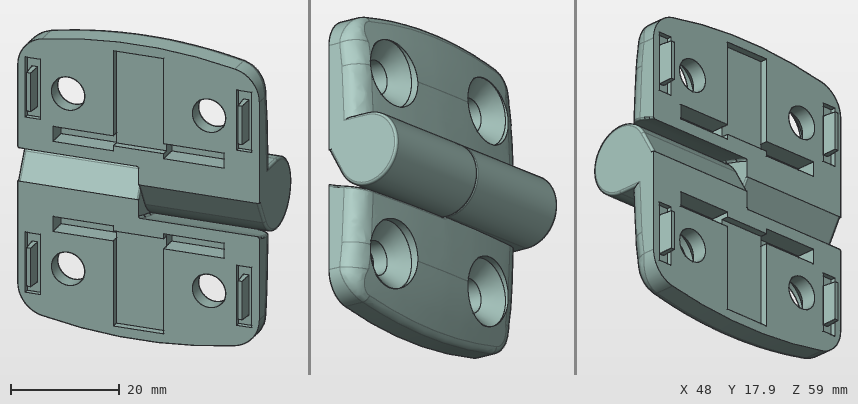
import cadquery as cq
import math


HALF_WIDTH = 24.0
LEAF_END = 29.5
END_ARC_RADIUS = 100.0
CORNER_RADIUS = 6.0

CREST_HEIGHT = 8.6
CROWN_RADIUS_ACROSS = 220.0
CROWN_RADIUS_ALONG = 250.0
END_CROWN_RADIUS = 45.0
CROWN_CHANGE = 17.4
SIDE_ROUND = 4.0
END_ROUND = 1.5

KNUCKLE_RADIUS = 7.0
AXIS_HEIGHT = 8.9
RAMP_FOOT = 1.5
OUTER_ROUND = 0.5
INNER_ROUND = 0.3

CLEARANCE_FOOT = 5.15
CLEARANCE_MIDDLE = (3.3, 6.1)
CLEARANCE_TOP = (8.9, 7.2)
CLEARANCE_ROUND = 0.4

HOLE_X = 14.0
HOLE_Z = 17.5
HOLE_DIAMETER = 6.6
HEAD_DIAMETER = 13.0
COUNTERSINK_START = 3.2
COUNTERSINK_HALF_ANGLE = 45.0

CENTER_POCKET_WIDTH = 10.0
CENTER_POCKET_BOTTOM = 8.5
CENTER_POCKET_TOP = 27.5
CENTER_POCKET_DEPTH = 1.5
SLOT_HALF_SPAN = 17.0
SLOT_BOTTOM = 7.5
SLOT_HEIGHT = 3.0
SLOT_DEPTH = 4.0

TAB_X = 21.0
TAB_Z = HOLE_Z
TAB_WIDTH = 1.1
TAB_LENGTH = 8.0
TAB_PROJECTION = 2.0
TAB_DRAFT = 3.0
TAB_POCKET_WIDTH = 3.0
TAB_POCKET_LENGTH = 12.0
TAB_POCKET_DEPTH = 1.0

OVERRUN = 5.0


def block(x_low, x_high, y_low, y_high, z_low, z_high):
    size = (x_high - x_low, y_high - y_low, z_high - z_low)
    return cq.Workplane("XY").box(*size, centered=False).translate((x_low, y_low, z_low))


def arc_point(center, radius, angle):
    """Point on an arc, the angle measured from the first axis toward the second."""
    return center[0] + radius * math.cos(angle), center[1] + radius * math.sin(angle)


def leaf_outline():
    """Outline prism: straight sides, rounded corners and a shallow arc at the free end."""
    corner_x = HALF_WIDTH - CORNER_RADIUS
    end_center = (0, LEAF_END - END_ARC_RADIUS)
    corner_to_center = END_ARC_RADIUS - CORNER_RADIUS
    tangent_angle = math.acos(corner_x / corner_to_center)
    corner_center = arc_point(end_center, corner_to_center, tangent_angle)
    corner_z = corner_center[1]
    corner_middle = arc_point(corner_center, CORNER_RADIUS, tangent_angle / 2)
    arc_end = arc_point(end_center, END_ARC_RADIUS, tangent_angle)
    arc_middle = arc_point(end_center, END_ARC_RADIUS, (tangent_angle + math.pi / 2) / 2)
    return (
        cq.Workplane("XZ")
        .moveTo(-HALF_WIDTH, RAMP_FOOT)
        .lineTo(HALF_WIDTH, RAMP_FOOT)
        .lineTo(HALF_WIDTH, corner_z)
        .threePointArc(corner_middle, arc_end)
        .threePointArc(arc_middle, (0, LEAF_END))
        .threePointArc((-arc_middle[0], arc_middle[1]), (-arc_end[0], arc_end[1]))
        .threePointArc((-corner_middle[0], corner_middle[1]), (-HALF_WIDTH, corner_z))
        .close()
        .extrude(-(CREST_HEIGHT + OVERRUN))
    )


def crown():
    """Lengthwise crown profile, swung about a vertical axis so that the back also curves across X."""
    main_center = (CREST_HEIGHT - CROWN_RADIUS_ALONG, 0)
    change_angle = math.asin(CROWN_CHANGE / CROWN_RADIUS_ALONG)
    change = arc_point(main_center, CROWN_RADIUS_ALONG, change_angle)
    end_center = arc_point(main_center, CROWN_RADIUS_ALONG - END_CROWN_RADIUS, change_angle)
    end_angle = math.asin((LEAF_END + OVERRUN - end_center[1]) / END_CROWN_RADIUS)
    end = arc_point(end_center, END_CROWN_RADIUS, end_angle)
    main_middle = arc_point(main_center, CROWN_RADIUS_ALONG, change_angle / 2)
    end_middle = arc_point(end_center, END_CROWN_RADIUS, (change_angle + end_angle) / 2)
    swing = 2 * math.degrees(math.asin((HALF_WIDTH + OVERRUN) / CROWN_RADIUS_ACROSS))
    axis_y = CREST_HEIGHT - CROWN_RADIUS_ACROSS
    return (
        cq.Workplane("YZ")
        .moveTo(-OVERRUN, 0)
        .lineTo(CREST_HEIGHT, 0)
        .threePointArc(main_middle, change)
        .threePointArc(end_middle, end)
        .lineTo(-OVERRUN, end[1])
        .close()
        .revolve(swing, (axis_y, 0), (axis_y, 1))
        .rotate((0, axis_y, 0), (0, axis_y, 1), -swing / 2)
    )


def rounded_leaf():
    """Crowned leaf with its back rim rounded; the radius narrows along each corner toward the free end."""
    blank = leaf_outline().intersect(crown()).val()
    rounding = cq.occ_impl.shapes.BRepFilletAPI_MakeFillet(blank.wrapped)

    def radius_at(vertex):
        return SIDE_ROUND if abs(vertex.x) > HALF_WIDTH - CORNER_RADIUS / 2 else END_ROUND

    rim = [
        edge
        for edge in blank.Edges()
        if min(edge.startPoint().y, edge.endPoint().y) > END_ROUND
        and edge.Center().z > RAMP_FOOT + END_ROUND
        and edge.geomType() != "CIRCLE"
    ]
    for edge in rim:
        rounding.Add(radius_at(edge.startPoint()), radius_at(edge.endPoint()), edge.wrapped)
    return cq.Workplane(obj=cq.Shape.cast(rounding.Shape()).Solids()[0])


def knuckle():
    """Barrel on the +X half; a tangent ramp and a flat join it to the mounting face of its leaf."""
    reach = math.hypot(AXIS_HEIGHT, RAMP_FOOT)
    ramp_length = math.sqrt(reach**2 - KNUCKLE_RADIUS**2)
    ramp_angle = math.asin(KNUCKLE_RADIUS / reach) + math.atan2(RAMP_FOOT, AXIS_HEIGHT)
    ramp_end = (ramp_length * math.cos(ramp_angle), RAMP_FOOT - ramp_length * math.sin(ramp_angle))
    barrel = (
        cq.Workplane("YZ")
        .moveTo(0, KNUCKLE_RADIUS)
        .lineTo(0, RAMP_FOOT)
        .lineTo(*ramp_end)
        .threePointArc((AXIS_HEIGHT + KNUCKLE_RADIUS, 0), (AXIS_HEIGHT, KNUCKLE_RADIUS))
        .close()
        .extrude(HALF_WIDTH)
    )
    off_mounting_face = cq.selectors.BoxSelector(
        (-OVERRUN, OUTER_ROUND, -2 * KNUCKLE_RADIUS),
        (HALF_WIDTH + OVERRUN, AXIS_HEIGHT + 2 * KNUCKLE_RADIUS, 2 * KNUCKLE_RADIUS),
    )
    barrel = barrel.faces(">X").edges(off_mounting_face).fillet(OUTER_ROUND)
    return barrel.faces("<X").edges(off_mounting_face).fillet(INNER_ROUND)


def knuckle_clearance():
    """Space on the -X half for the other knuckle, with a rounded corner beside this leaf's knuckle."""
    space = (
        cq.Workplane("YZ")
        .moveTo(*CLEARANCE_TOP)
        .threePointArc(CLEARANCE_MIDDLE, (0, CLEARANCE_FOOT))
        .lineTo(0, -OVERRUN)
        .lineTo(CLEARANCE_TOP[0], -OVERRUN)
        .close()
        .extrude(-(HALF_WIDTH + OVERRUN))
    )
    return space.faces(">X").edges("%CIRCLE").fillet(CLEARANCE_ROUND)


def cleared_leaf():
    """Leaf with the knuckle space removed and the lip above that space rounded on the side and back."""
    leaf = rounded_leaf().cut(knuckle_clearance())
    lip = cq.selectors.BoxSelector(
        (-HALF_WIDTH - OVERRUN, CLEARANCE_ROUND, CLEARANCE_FOOT),
        (-OVERRUN, AXIS_HEIGHT, CLEARANCE_TOP[1] + CLEARANCE_ROUND),
    )
    return leaf.edges(lip).fillet(CLEARANCE_ROUND)


def screw_hole(x):
    """Through hole opening into a countersink and then a straight head recess in the crowned back."""
    hole_radius = HOLE_DIAMETER / 2
    head_radius = HEAD_DIAMETER / 2
    flare = (head_radius - hole_radius) / math.tan(math.radians(COUNTERSINK_HALF_ANGLE))
    head_start = COUNTERSINK_START + flare
    return (
        cq.Workplane("XY")
        .moveTo(0, -OVERRUN)
        .lineTo(hole_radius, -OVERRUN)
        .lineTo(hole_radius, COUNTERSINK_START)
        .lineTo(head_radius, head_start)
        .lineTo(head_radius, CREST_HEIGHT + OVERRUN)
        .lineTo(0, CREST_HEIGHT + OVERRUN)
        .close()
        .revolve(360, (0, 0), (0, 1))
        .translate((x, 0, HOLE_Z))
    )


def center_pocket():
    half = CENTER_POCKET_WIDTH / 2
    return block(-half, half, -OVERRUN, CENTER_POCKET_DEPTH, CENTER_POCKET_BOTTOM, CENTER_POCKET_TOP)


def side_slot(side):
    """Slot running outward from one side of the center pocket."""
    inner, outer = sorted((side * CENTER_POCKET_WIDTH / 2, side * SLOT_HALF_SPAN))
    return block(inner, outer, -OVERRUN, SLOT_DEPTH, SLOT_BOTTOM, SLOT_BOTTOM + SLOT_HEIGHT)


def tab_pocket(x):
    half_width = TAB_POCKET_WIDTH / 2
    half_length = TAB_POCKET_LENGTH / 2
    return block(
        x - half_width,
        x + half_width,
        -OVERRUN,
        TAB_POCKET_DEPTH,
        TAB_Z - half_length,
        TAB_Z + half_length,
    )


def tab(x):
    """Drafted tab from the floor of its pocket to beyond the mounting face."""
    base = cq.Workplane("XZ", origin=(x, TAB_POCKET_DEPTH, TAB_Z)).rect(TAB_WIDTH, TAB_LENGTH)
    return base.extrude(TAB_POCKET_DEPTH + TAB_PROJECTION, taper=TAB_DRAFT)


def hinge_leaf():
    leaf = cleared_leaf().union(knuckle()).cut(center_pocket())
    for side in (-1, 1):
        leaf = leaf.cut(screw_hole(side * HOLE_X))
        leaf = leaf.cut(side_slot(side))
        leaf = leaf.cut(tab_pocket(side * TAB_X))
        leaf = leaf.union(tab(side * TAB_X))
    return leaf


def turned(turn):
    return cq.Location(cq.Vector(0, 0, 0), cq.Vector(0, 1, 0), turn)


leaf_solid = hinge_leaf().solids().val()
leaves = [leaf_solid.moved(turned(turn)) for turn in (0, 180)]
result = cq.Compound.makeCompound(leaves)